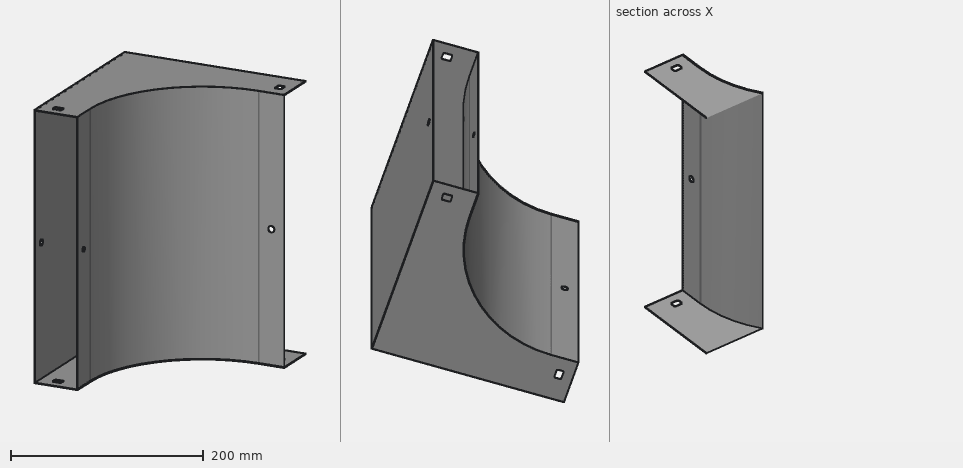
import cadquery as cq

side = 210.0
height = 300.0
wall = 1.0

arm_width = 50.0
arm_straight = 30.0
bend_radius = side - arm_width - arm_straight

end_inset = 15.0
wall_hole = 7.0
small_wall_hole = 5.0
slot_length = 10.0
slot_width = 7.5
slot_corner_radius = 1.5
x_arm_slot_depth = 30.0
y_arm_slot_depth = 20.0


def plan_prism(offset, overrun, bottom, depth):
    """Prism of the curved plan, with its -X and inner sides inset by offset.

    It runs past the open arm ends and the open +Y side by overrun.
    The outer corner of the duct is at X = 0, Y = 0; the arms run to +X and -Y.
    """
    end = side + overrun
    inner = arm_width - offset
    bend_centre = side - arm_straight
    return (
        cq.Workplane("XY", origin=(0, 0, bottom))
        .moveTo(offset, overrun)
        .lineTo(end, overrun)
        .lineTo(end, -inner)
        .lineTo(bend_centre, -inner)
        .radiusArc((inner, -bend_centre), -(bend_radius + offset))
        .lineTo(inner, -end)
        .lineTo(offset, -end)
        .close()
        .extrude(depth)
    )


def plate_slot(x, y, length_x, length_y):
    """Round-cornered slot cutter through the top and bottom plates."""
    return (
        cq.Workplane("XY")
        .center(x, y)
        .rect(length_x, length_y)
        .extrude(height)
        .edges("|Z")
        .fillet(slot_corner_radius)
    )


def wall_cutter(diameter, start, direction, length):
    """Round cutter from start along direction."""
    cylinder = cq.Solid.makeCylinder(diameter / 2, length, cq.Vector(*start), cq.Vector(*direction))
    return cq.Workplane(cylinder)


overrun = 3.0
body = plan_prism(0, 0, 0, height)
cavity = plan_prism(wall, overrun, wall, height - 2 * wall)
result = body.cut(cavity)

hole_reach = side - end_inset
result = result.cut(plate_slot(hole_reach, -x_arm_slot_depth, slot_width, slot_length))
result = result.cut(plate_slot(y_arm_slot_depth, -hole_reach, slot_length, slot_width))

mid_height = height / 2
result = result.cut(wall_cutter(wall_hole, (hole_reach, 0, mid_height), (0, -1, 0), arm_width))

y_arm_hole = (0, -hole_reach, mid_height)
result = result.cut(wall_cutter(wall_hole, y_arm_hole, (1, 0, 0), arm_width / 2))
result = result.cut(wall_cutter(small_wall_hole, y_arm_hole, (1, 0, 0), arm_width))